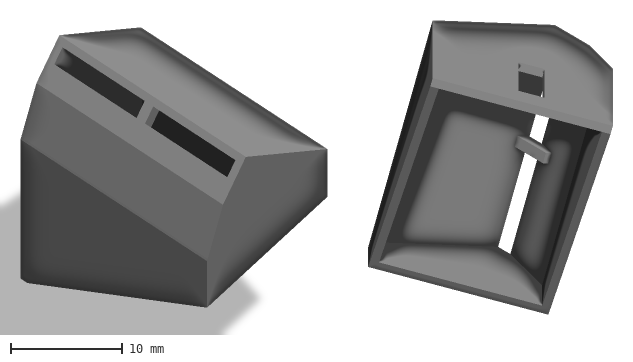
import cadquery as cq
import math

width = 21.9
depth = 16.8
height = 29.55
wall = 0.8

back_height = 19.98
ridge_y = 5.4
brow_y = 2.22
brow_z = 25.75
front_height = 19.8
lip_y = 0.1
lip_z = 20.07

slope_end_z = 13.18

rib_width = 1.0
rib_depth = 1.5

window_y = 6.35
window_width = 2.42
window_z = 3.5
window_height = 9.87


def house_profile():
    """Closed side outline on the YZ plane."""
    return cq.Workplane("YZ").polyline([
        (0, 0),
        (depth, 0),
        (depth, back_height),
        (ridge_y, height),
        (brow_y, brow_z),
        (lip_y, lip_z),
        (0, front_height),
    ]).close()


def extended_apex():
    """Point where the roof line meets the lower front slope carried upward."""
    roof_slope = (back_height - height) / (depth - ridge_y)
    front_slope = (brow_z - lip_z) / (brow_y - lip_y)
    apex_y = (height - brow_z + front_slope * brow_y - roof_slope * ridge_y) / (front_slope - roof_slope)
    return apex_y, height + roof_slope * (apex_y - ridge_y)


def cavity():
    """Inside space, open at the bottom and breaking out through the upper front face."""
    inner_width = width - 2 * wall
    outline = cq.Workplane("YZ").polyline([
        (0, -wall),
        (depth, -wall),
        (depth, back_height),
        extended_apex(),
        (lip_y, lip_z),
        (0, front_height),
    ]).close()
    space = outline.offset2D(-wall, "intersection").extrude(inner_width)
    return space.translate((wall, 0, 0))


def lower_wedge():
    """Material below the sloping edge, across the full depth."""
    return (
        cq.Workplane("XZ")
        .polyline([(wall, 0), (width, 0), (width, slope_end_z)])
        .close()
        .extrude(-depth)
    )


def divider_rib():
    """Central rib behind the upper front face, of constant depth from that face."""
    run = ridge_y - brow_y
    rise = height - brow_z
    face_length = math.hypot(run, rise)
    step_y = rib_depth * rise / face_length
    step_z = rib_depth * run / face_length
    rib = cq.Workplane("YZ").polyline([
        (brow_y, brow_z),
        (ridge_y, height),
        (ridge_y + step_y, height - step_z),
        (brow_y + step_y, brow_z - step_z),
    ]).close().extrude(rib_width)
    return rib.translate(((width - rib_width) / 2, 0, 0)).intersect(house_profile().extrude(width))


def side_window():
    """Rectangular opening through the left wall only."""
    window = cq.Workplane("XY").box(wall, window_width, window_height, centered=False)
    return window.translate((0, window_y, window_z))


result = house_profile().extrude(width).cut(cavity()).union(divider_rib())
result = result.cut(lower_wedge()).cut(side_window())